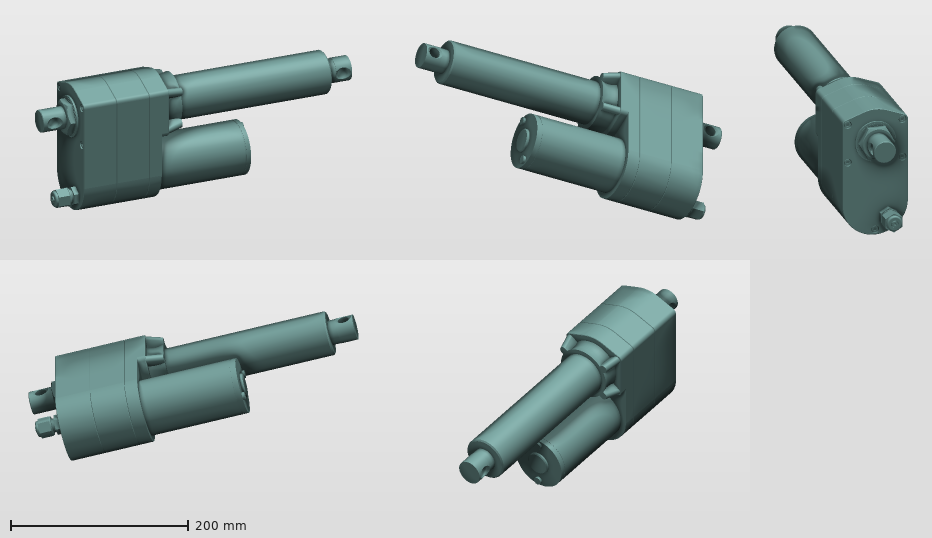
import cadquery as cq
import math


OVERALL_LENGTH = 378.5

HOUSING_WIDTH = 77.2
HALF_WIDTH = HOUSING_WIDTH / 2
CROWN_RADIUS = 38.5
SHOULDER_ANGLE = math.radians(20)
CORNER_RADIUS = 5.5
MOTOR_AXIS_Z = -74.5

REAR_SEAM_Y = 40.5
FRONT_SEAM_Y = 80.5
LOWER_FRONT_Y = 95.8
PAD_FRONT_Y = 105.0
SEAM_CHAMFER = 0.55

TUBE_DIAMETER = 50.7
TUBE_END_Y = 311.0
TUBE_CHAMFER = 1.5
FLANGE_DIAMETER = 63.0
FLANGE_FRONT_Y = 124.0
FLANGE_WAIST_DEPTH = 2.0
EAR_ANGLE = 35.0
EAR_RADIUS = 4.5
EAR_INNER_REACH = 15.0
EAR_BASE_REACH = 39.7
EAR_TIP_REACH = 34.0

MOTOR_DIAMETER = 63.5
MOTOR_END_Y = 208.5
MOTOR_GROOVE_Y = 201.7
MOTOR_GROOVE_WIDTH = 1.5
MOTOR_GROOVE_DEPTH = 0.5
MOTOR_HEAD_HEIGHT = 3.0
MOTOR_SCREW_DIAMETER = 9.0
MOTOR_SCREW_OFFSET = 25.5
MOTOR_BOSS_DIAMETER = 27.3
MOTOR_BOSS_CHAMFER = 1.0

SCREW_X = 32.0
SCREW_Z = 22.7
BOTTOM_SCREW_Z = -106.7
SCREW_PLACES = [(sx * SCREW_X, sz * SCREW_Z) for sx in (-1, 1) for sz in (-1, 1)] + [(0, BOTTOM_SCREW_Z)]
SCREW_RECESS_DIAMETER = 9.0
SCREW_RECESS_DEPTH = 3.8
SCREW_HEAD_DIAMETER = 7.2
SCREW_HEAD_HEIGHT = 3.0
SCREW_SOCKET_SIZE = 3.8
SCREW_SOCKET_DEPTH = 2.0

WASHER_DIAMETER = 48.0
WASHER_THICKNESS = 2.3
WASHER_GROOVE_DIAMETERS = (39.0, 43.5)
WASHER_GROOVE_WIDTH = 1.0
WASHER_GROOVE_DEPTH = 0.5
NUT_ACROSS_FLATS = 36.5
NUT_FRONT_Y = -10.2
NUT_CHAMFER_DIAMETER = 35.0
REAR_EYE_DIAMETER = 26.0
REAR_EYE_END_Y = -38.2
REAR_EYE_HOLE_Y = -24.2
REAR_EYE_CHAMFER = 0.8

ROD_DIAMETER = 28.0
ROD_EYE_DIAMETER = 28.8
ROD_EYE_LENGTH = 19.3
ROD_END_Y = REAR_EYE_END_Y + OVERALL_LENGTH
ROD_HOLE_FROM_END = 11.0

EYE_HOLE_DIAMETER = 13.0
EYE_COUNTERSINK_DIAMETER = 19.0
EYE_COUNTERSINK_DEPTH = 2.3

GLAND_X = 14.8
GLAND_Z = -92.0
GLAND_COLLAR_DIAMETER = 21.5
GLAND_ACROSS_FLATS = 19.5
GLAND_BASE_Y = -5.5
GLAND_NECK_DIAMETER = 16.0
GLAND_CAP_Y = -9.0
GLAND_COLLAR_THICKNESS = 1.5
GLAND_CAP_END_Y = -24.2
GLAND_NOSE_END_Y = -27.5
GLAND_NOSE_DIAMETER = 18.0
GLAND_NOSE_FILLET = 2.0
GLAND_CABLE_HOLE_DIAMETER = 8.5
GLAND_CABLE_DIAMETER = 7.2
GLAND_CABLE_BORE_DIAMETER = 2.7
GLAND_HOLE_DEPTH = 3.8
GLAND_CABLE_END_Y = -28.8


def plane_at(y, x=0.0, z=0.0):
    """XZ workplane at the given point; negative extrusions run toward +Y."""
    return cq.Workplane("XZ", origin=(x, y, z))


def cylinder(diameter, y_start, y_end, x=0.0, z=0.0):
    """Cylinder along Y."""
    return plane_at(y_start, x, z).circle(diameter / 2).extrude(y_start - y_end)


def hexagon(across_flats, y_start, y_end, x=0.0, z=0.0, turn=0.0):
    """Hexagonal prism along Y; two corners point along X when turn is 0."""
    across_corners = across_flats / math.cos(math.pi / 6)
    prism = plane_at(y_start, x, z).polygon(6, across_corners).extrude(y_start - y_end)
    return prism.rotate((x, 0, z), (x, 1, z), turn)



def crown(wire, up):
    """Adds the crowned end from the left side to the right side; up is 1 for the top, -1 for the bottom."""
    sine = math.sin(SHOULDER_ANGLE)
    cosine = math.cos(SHOULDER_ANGLE)
    corner_x = HALF_WIDTH - CORNER_RADIUS
    corner_z = (CROWN_RADIUS - CORNER_RADIUS - corner_x * sine) / cosine
    mid_angle = (math.pi / 2 - SHOULDER_ANGLE) / 2
    corner_mid = (
        corner_x + CORNER_RADIUS * math.cos(mid_angle),
        corner_z + CORNER_RADIUS * math.sin(mid_angle),
    )
    shoulder = (corner_x + CORNER_RADIUS * sine, corner_z + CORNER_RADIUS * cosine)
    crown_start = (CROWN_RADIUS * sine, CROWN_RADIUS * cosine)

    def at(side, point):
        return (side * point[0], up * point[1])

    left, right = -up, up
    return (
        wire.lineTo(*at(left, (HALF_WIDTH, corner_z)))
        .threePointArc(at(left, corner_mid), at(left, shoulder))
        .lineTo(*at(left, crown_start))
        .threePointArc((0, up * CROWN_RADIUS), at(right, crown_start))
        .lineTo(*at(right, shoulder))
        .threePointArc(at(right, corner_mid), at(right, (HALF_WIDTH, corner_z)))
    )


def housing_section(y_start, y_end):
    """Slice of the housing: crowned top and round bottom."""
    wire = crown(plane_at(y_start).moveTo(-HALF_WIDTH, MOTOR_AXIS_Z), 1)
    wire = wire.lineTo(HALF_WIDTH, MOTOR_AXIS_Z)
    wire = wire.threePointArc((0, MOTOR_AXIS_Z - HALF_WIDTH), (-HALF_WIDTH, MOTOR_AXIS_Z))
    return wire.close().extrude(y_start - y_end)


def front_pad():
    """Raised front of the housing around the tube, crowned at top and bottom."""
    wire = crown(plane_at(LOWER_FRONT_Y).moveTo(-HALF_WIDTH, 0), 1)
    wire = crown(wire, -1).close()
    return wire.extrude(LOWER_FRONT_Y - PAD_FRONT_Y).faces(">Y").chamfer(SEAM_CHAMFER)


def gearbox_housing():
    """Three slices whose chamfered edges leave a V groove at each seam."""
    rear = housing_section(0, REAR_SEAM_Y).faces("<Y or >Y").chamfer(SEAM_CHAMFER)
    middle = housing_section(REAR_SEAM_Y, FRONT_SEAM_Y).faces("<Y or >Y").chamfer(SEAM_CHAMFER)
    front = housing_section(FRONT_SEAM_Y, LOWER_FRONT_Y).faces("<Y").chamfer(SEAM_CHAMFER)
    return rear.union(middle).union(front).union(front_pad())


def housing_screw_recesses():
    recesses = plane_at(0).pushPoints(SCREW_PLACES).circle(SCREW_RECESS_DIAMETER / 2)
    return recesses.extrude(-SCREW_RECESS_DEPTH)


def housing_screw_heads():
    """Socket heads standing on the floors of the screw recesses."""
    heads = plane_at(SCREW_RECESS_DEPTH).pushPoints(SCREW_PLACES).circle(SCREW_HEAD_DIAMETER / 2)
    heads = heads.extrude(SCREW_HEAD_HEIGHT)
    socket_floor = SCREW_RECESS_DEPTH - SCREW_HEAD_HEIGHT + SCREW_SOCKET_DEPTH
    socket_diameter = SCREW_SOCKET_SIZE / math.cos(math.pi / 6)
    sockets = plane_at(socket_floor).pushPoints(SCREW_PLACES).polygon(6, socket_diameter)
    return heads.cut(sockets.extrude(SCREW_SOCKET_DEPTH))



def flange():
    """Waisted round flange that carries the tube."""
    radius = FLANGE_DIAMETER / 2
    mid_y = (PAD_FRONT_Y + FLANGE_FRONT_Y) / 2
    profile = (
        cq.Workplane("XY")
        .moveTo(0, PAD_FRONT_Y)
        .lineTo(radius, PAD_FRONT_Y)
        .threePointArc((radius - FLANGE_WAIST_DEPTH, mid_y), (radius, FLANGE_FRONT_Y))
        .lineTo(0, FLANGE_FRONT_Y)
        .close()
    )
    return profile.revolve(360, (0, 0, 0), (0, 1, 0))


def ear_length(reach):
    """Length of the round-ended ear section whose outer centre lies at the given reach."""
    return reach - EAR_INNER_REACH + 2 * EAR_RADIUS


def flange_ears():
    """Four radial ears that taper from the housing screws to the front of the flange."""
    base_centre = (EAR_INNER_REACH + EAR_BASE_REACH) / 2
    tip_centre = (EAR_INNER_REACH + EAR_TIP_REACH) / 2
    base = plane_at(PAD_FRONT_Y).center(base_centre, 0).slot2D(ear_length(EAR_BASE_REACH), 2 * EAR_RADIUS)
    tip = base.workplane(offset=PAD_FRONT_Y - FLANGE_FRONT_Y).center(tip_centre - base_centre, 0)
    ear = tip.slot2D(ear_length(EAR_TIP_REACH), 2 * EAR_RADIUS).loft(ruled=True)
    ears = cq.Workplane()
    for angle in (EAR_ANGLE, 180 - EAR_ANGLE, 180 + EAR_ANGLE, -EAR_ANGLE):
        ears = ears.union(ear.rotate((0, 0, 0), (0, 1, 0), angle))
    return ears


def tube():
    return cylinder(TUBE_DIAMETER, FLANGE_FRONT_Y, TUBE_END_Y).faces(">Y").chamfer(TUBE_CHAMFER)



def motor():
    """Round motor can with a cap groove, an end boss and two screw heads."""
    can = cylinder(MOTOR_DIAMETER, LOWER_FRONT_Y, MOTOR_END_Y, z=MOTOR_AXIS_Z)
    groove = (
        plane_at(MOTOR_GROOVE_Y, z=MOTOR_AXIS_Z)
        .circle(MOTOR_DIAMETER / 2)
        .circle(MOTOR_DIAMETER / 2 - MOTOR_GROOVE_DEPTH)
        .extrude(-MOTOR_GROOVE_WIDTH)
    )
    head_y = MOTOR_END_Y + MOTOR_HEAD_HEIGHT
    boss = cylinder(MOTOR_BOSS_DIAMETER, MOTOR_END_Y, head_y, z=MOTOR_AXIS_Z)
    body = can.cut(groove).union(boss.faces(">Y").chamfer(MOTOR_BOSS_CHAMFER))
    for side in (-1, 1):
        screw_z = MOTOR_AXIS_Z + side * MOTOR_SCREW_OFFSET
        body = body.union(cylinder(MOTOR_SCREW_DIAMETER, MOTOR_END_Y, head_y, z=screw_z))
    return body



def eye_hole(eye_diameter, y):
    """Cross hole along X, countersunk where it leaves the eye."""
    half_eye = eye_diameter / 2
    hole_radius = EYE_HOLE_DIAMETER / 2
    sink_radius = EYE_COUNTERSINK_DIAMETER / 2
    profile = (
        cq.Workplane("XY", origin=(0, y, 0))
        .moveTo(-half_eye, 0)
        .lineTo(-half_eye, sink_radius)
        .lineTo(-half_eye + EYE_COUNTERSINK_DEPTH, hole_radius)
        .lineTo(half_eye - EYE_COUNTERSINK_DEPTH, hole_radius)
        .lineTo(half_eye, sink_radius)
        .lineTo(half_eye, 0)
        .close()
    )
    return profile.revolve(360, (0, 0, 0), (1, 0, 0))


def rear_washer():
    """Thin washer with concentric grooves in its outer face."""
    washer = cylinder(WASHER_DIAMETER, 0, -WASHER_THICKNESS)
    for inner_diameter in WASHER_GROOVE_DIAMETERS:
        inner_radius = inner_diameter / 2
        groove = plane_at(-WASHER_THICKNESS).circle(inner_radius + WASHER_GROOVE_WIDTH).circle(inner_radius)
        washer = washer.cut(groove.extrude(-WASHER_GROOVE_DEPTH))
    return washer


def rear_nut():
    """Hexagonal nut with its outer corners turned down by a 30 degree cone."""
    across_corners = NUT_ACROSS_FLATS / math.cos(math.pi / 6)
    chamfer_width = (across_corners - NUT_CHAMFER_DIAMETER) / 2
    chamfer_height = chamfer_width * math.tan(math.pi / 6)
    envelope = cylinder(across_corners, -WASHER_THICKNESS, NUT_FRONT_Y)
    envelope = envelope.faces("<Y").chamfer(chamfer_height, chamfer_width)
    return hexagon(NUT_ACROSS_FLATS, -WASHER_THICKNESS, NUT_FRONT_Y).intersect(envelope)


def rear_eye():
    eye = cylinder(REAR_EYE_DIAMETER, NUT_FRONT_Y, REAR_EYE_END_Y).faces("<Y").chamfer(REAR_EYE_CHAMFER)
    return eye.cut(eye_hole(REAR_EYE_DIAMETER, REAR_EYE_HOLE_Y))



def gland_cylinder(diameter, y_start, y_end):
    return cylinder(diameter, y_start, y_end, GLAND_X, GLAND_Z)


def gland_hexagon(y_start, y_end):
    """Hexagon with two of its corners pointing along Z."""
    return hexagon(GLAND_ACROSS_FLATS, y_start, y_end, GLAND_X, GLAND_Z, turn=90)


def cable_gland():
    """Gland with a hollow cable stub standing in the hole of its rounded nose."""
    nose = gland_cylinder(GLAND_NOSE_DIAMETER, GLAND_CAP_END_Y, GLAND_NOSE_END_Y)
    nose = nose.faces("<Y").edges().fillet(GLAND_NOSE_FILLET)
    hole_floor_y = GLAND_NOSE_END_Y + GLAND_HOLE_DEPTH
    return (
        gland_hexagon(0, GLAND_BASE_Y)
        .union(gland_cylinder(GLAND_NECK_DIAMETER, GLAND_BASE_Y, GLAND_CAP_Y))
        .union(gland_cylinder(GLAND_COLLAR_DIAMETER, GLAND_CAP_Y, GLAND_CAP_Y - GLAND_COLLAR_THICKNESS))
        .union(gland_hexagon(GLAND_CAP_Y - GLAND_COLLAR_THICKNESS, GLAND_CAP_END_Y))
        .union(nose)
        .cut(gland_cylinder(GLAND_CABLE_HOLE_DIAMETER, hole_floor_y, GLAND_NOSE_END_Y))
        .union(gland_cylinder(GLAND_CABLE_DIAMETER, hole_floor_y, GLAND_CABLE_END_Y))
        .cut(gland_cylinder(GLAND_CABLE_BORE_DIAMETER, hole_floor_y, GLAND_CABLE_END_Y))
    )



def rod():
    """Sliding rod that fills the tube bore and ends in an eye."""
    eye_start_y = ROD_END_Y - ROD_EYE_LENGTH
    shaft = cylinder(ROD_DIAMETER, FLANGE_FRONT_Y, eye_start_y)
    eye = cylinder(ROD_EYE_DIAMETER, eye_start_y, ROD_END_Y)
    return shaft.union(eye).cut(eye_hole(ROD_EYE_DIAMETER, ROD_END_Y - ROD_HOLE_FROM_END))


def actuator_body():
    return (
        gearbox_housing()
        .cut(housing_screw_recesses())
        .union(housing_screw_heads())
        .union(flange())
        .union(flange_ears())
        .union(tube())
        .cut(cylinder(ROD_DIAMETER, FLANGE_FRONT_Y, TUBE_END_Y))
        .union(motor())
        .union(rear_washer())
        .union(rear_nut())
        .union(rear_eye())
        .union(cable_gland())
    )


result = cq.Compound.makeCompound([actuator_body().val(), rod().val()])